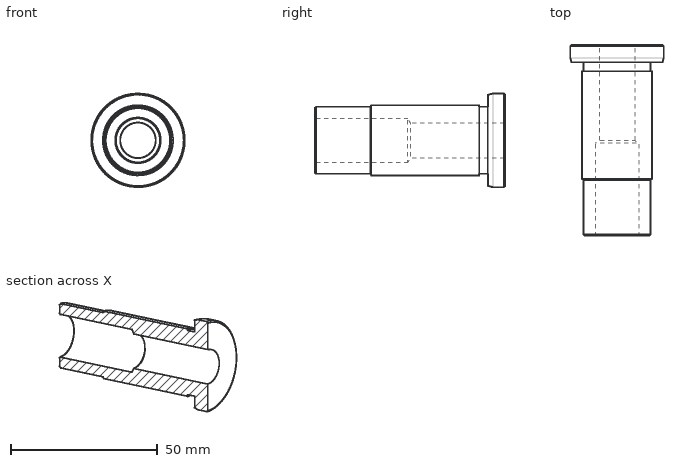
import cadquery as cq
import math

total_length = 65.0

flange_diameter = 32.0
flange_thickness = 6.0
flange_back_chamfer = 0.5
flange_taper_length = 1.6
flange_taper_depth = 0.45

body_diameter = 24.0
neck_diameter = 22.9
neck_end = 9.0
body_end = 46.0
body_chamfer_length = 0.4
nose_chamfer = 0.5

bore_back_diameter = 12.0
bore_nose_diameter = 14.95
bore_mouth_chamfer = 0.3
bore_shoulder_start = total_length / 2
bore_shoulder_half_angle = 59.0

flange_radius = flange_diameter / 2
body_radius = body_diameter / 2
neck_radius = neck_diameter / 2
bore_back_radius = bore_back_diameter / 2
bore_nose_radius = bore_nose_diameter / 2
bore_shoulder_length = (bore_nose_radius - bore_back_radius) / math.tan(math.radians(bore_shoulder_half_angle))


def revolve_profile(points):
    """Revolve (radius, distance from the flange back face) points about Y."""
    profile = [(radius, -distance) for radius, distance in points]
    return cq.Workplane("XY").polyline(profile).close().revolve(360, (0, 0, 0), (0, 1, 0))


def make_sleeve():
    return revolve_profile([
        (0, 0),
        (flange_radius - flange_back_chamfer, 0),
        (flange_radius, flange_back_chamfer),
        (flange_radius, flange_thickness - flange_taper_length),
        (flange_radius - flange_taper_depth, flange_thickness),
        (neck_radius, flange_thickness),
        (neck_radius, neck_end),
        (body_radius, neck_end),
        (body_radius, body_end - body_chamfer_length),
        (neck_radius, body_end),
        (neck_radius, total_length - nose_chamfer),
        (neck_radius - nose_chamfer, total_length),
        (0, total_length),
    ])


def make_bore():
    return revolve_profile([
        (0, 0),
        (bore_back_radius, 0),
        (bore_back_radius, bore_shoulder_start),
        (bore_nose_radius, bore_shoulder_start + bore_shoulder_length),
        (bore_nose_radius, total_length - bore_mouth_chamfer),
        (bore_nose_radius + bore_mouth_chamfer, total_length),
        (0, total_length),
    ])


result = make_sleeve().cut(make_bore())